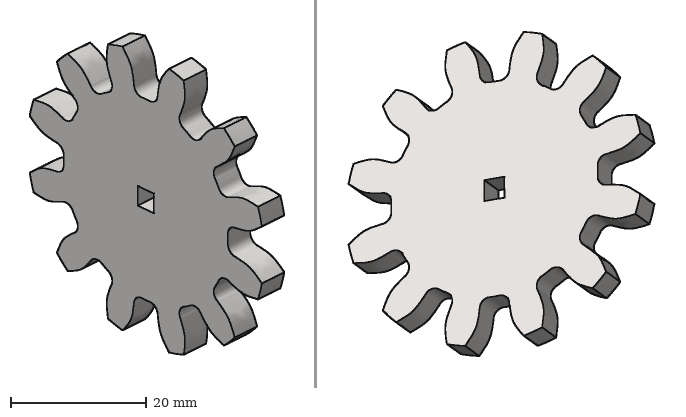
import cadquery as cq
import math

outer_size = 48.05
thickness = 4.75
tooth_count = 12
root_radius = 17.0
root_fillet_radius = 1.6
root_half_width = 0.85
square_hole_side = 3.3

pitch_angle = 360.0 / tooth_count

tip_corner = (4.8, outer_size / 2)
flank_middle = [(2.7, 20.15), (3.05, 21.45), (3.8, 22.7)]

tip_radius = math.hypot(*tip_corner)
root_end = (root_half_width, math.sqrt(root_radius**2 - root_half_width**2))
fillet_centre = (root_half_width, root_end[1] + root_fillet_radius)
fillet_end = (fillet_centre[0] + root_fillet_radius, fillet_centre[1])
fillet_middle = (
    fillet_centre[0] + root_fillet_radius * math.sin(math.pi / 4),
    fillet_centre[1] - root_fillet_radius * math.cos(math.pi / 4),
)
right_flank = [fillet_end, *flank_middle, tip_corner]


def mirrored(point):
    """Reflect a point across the gap axis."""
    return (-point[0], point[1])


def turned(point, angle):
    """Rotate a point clockwise about the gear axis by an angle in degrees."""
    c = math.cos(math.radians(angle))
    s = math.sin(math.radians(angle))
    return (point[0] * c + point[1] * s, point[1] * c - point[0] * s)


def add_gap_and_tip(outline, angle):
    """Draw one tooth gap, left to right, then the tip of the next tooth."""

    def place(point):
        return turned(point, angle)

    left_flank = [mirrored(p) for p in reversed(right_flank)]
    outline = outline.spline([place(p) for p in left_flank[1:]], includeCurrent=True)
    outline = outline.threePointArc(place(mirrored(fillet_middle)), place(mirrored(root_end)))
    outline = outline.threePointArc(place((0, root_radius)), place(root_end))
    outline = outline.threePointArc(place(fillet_middle), place(fillet_end))
    outline = outline.spline([place(p) for p in right_flank[1:]], includeCurrent=True)

    tip_middle = turned((0, tip_radius), angle + pitch_angle / 2)
    next_corner = turned(mirrored(tip_corner), angle + pitch_angle)
    return outline.threePointArc(tip_middle, next_corner)


outline = cq.Workplane("XZ", origin=(0, thickness / 2, 0)).moveTo(*mirrored(tip_corner))
for tooth in range(tooth_count):
    outline = add_gap_and_tip(outline, tooth * pitch_angle)
gear = outline.close().extrude(thickness)

shaft_hole = cq.Workplane("XZ").rect(square_hole_side, square_hole_side).extrude(thickness, both=True)
result = gear.cut(shaft_hole)